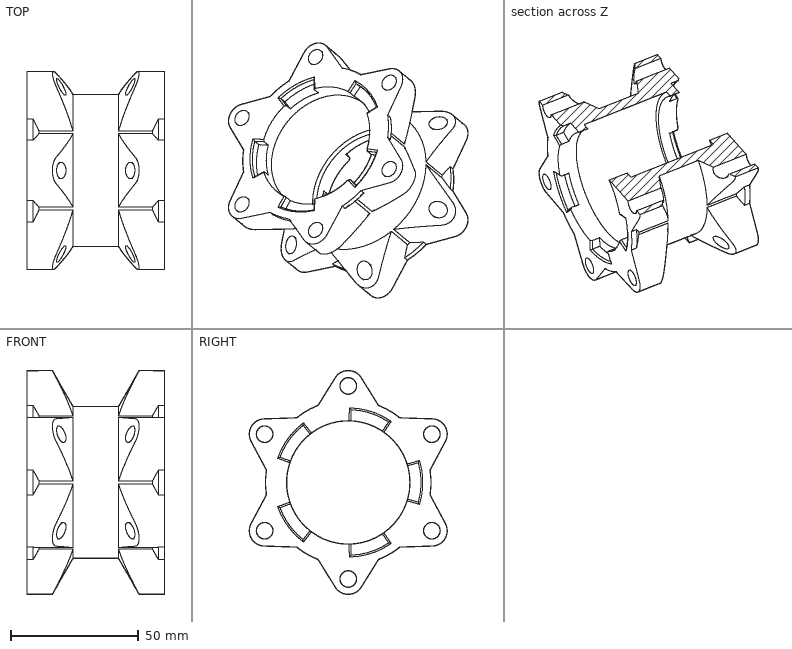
import cadquery as cq
import math

length = 54.1
outer_radius = 44.0

tube_radius = 59.8 / 2
bore_radius = 48.4 / 2
relief_radius = 52.2 / 2
lip_length = 8.3

arm_count = 6
arm_tip_radius = 6.1
arm_root_radius = relief_radius
arm_centre_radius = outer_radius - arm_tip_radius
arm_tip_length = 10.0
flange_length = 18.1
first_arm_angle = 180 / arm_count
hole_diameter = 6.4

rim_radius = 32.6
rim_thickness = 2.4
rim_slope_length = 2.4

recess_count = 5
recess_radius = 28.6
recess_half_angle = 15.7
recess_depth = 4.05
recess_chamfer = 0.7
recess_overlap = 1.8


def polar(radius, degrees):
    """Point (Y, Z) at a radius and an angle from +Y towards +Z."""
    angle = math.radians(degrees)
    return radius * math.cos(angle), radius * math.sin(angle)


def turned(points):
    """Solid of revolution about X from (x, radius) points."""
    return cq.Workplane("XY").polyline(points).close().revolve(360, (0, 0, 0), (1, 0, 0))


def spin(shape, degrees):
    """Copy of a shape turned about the X axis."""
    return shape.rotate((0, 0, 0), (1, 0, 0), degrees)


def make_arm():
    """One arm along +Y: straight flanks tangent to the root circle and to the round tip."""
    flank_sine = (arm_root_radius - arm_tip_radius) / arm_centre_radius
    tangent_angle = math.degrees(math.acos(flank_sine))
    root_y, root_z = polar(arm_root_radius, tangent_angle)
    tip_offset, tip_z = polar(arm_tip_radius, tangent_angle)
    tip_y = arm_centre_radius + tip_offset
    return (
        cq.Workplane("YZ")
        .lineTo(root_y, root_z)
        .lineTo(tip_y, tip_z)
        .threePointArc((outer_radius, 0), (tip_y, -tip_z))
        .lineTo(root_y, -root_z)
        .close()
        .extrude(flange_length)
    )


def make_star():
    """All arms of one end, cut back towards their tips by a cone on the inner side."""
    arm = make_arm()
    star = spin(arm, first_arm_angle)
    for index in range(1, arm_count):
        star = star.union(spin(arm, first_arm_angle + index * 360 / arm_count))
    slope = (flange_length - arm_tip_length) / (outer_radius - tube_radius)
    base_radius = outer_radius + arm_tip_length / slope
    apex_x = base_radius * slope
    return star.intersect(turned([(0, 0), (0, base_radius), (apex_x, 0)]))


def make_rim():
    """Disc at the end face with a conical back that runs down to the tube."""
    slope_end = rim_thickness + rim_slope_length
    return turned([
        (0, 0),
        (0, rim_radius),
        (rim_thickness, rim_radius),
        (slope_end, tube_radius),
        (slope_end, 0),
    ])


def make_arm_holes():
    """Cutters for the holes through the arm tips of one end."""
    return (
        cq.Workplane("YZ")
        .polarArray(arm_centre_radius, first_arm_angle, 360, arm_count)
        .circle(hole_diameter / 2)
        .extrude(flange_length)
    )


def recess_outline():
    """Ring sector centred on +Y; its inner side lies in the open bore."""
    inner_radius = bore_radius - recess_overlap
    return (
        cq.Workplane("YZ")
        .moveTo(*polar(inner_radius, -recess_half_angle))
        .lineTo(*polar(recess_radius, -recess_half_angle))
        .threePointArc((recess_radius, 0), polar(recess_radius, recess_half_angle))
        .lineTo(*polar(inner_radius, recess_half_angle))
        .close()
    )


def make_recess():
    """Cutter for one recess with a 45 degree chamfer around its mouth."""
    pocket = recess_outline().extrude(recess_depth)
    mouth = recess_outline().offset2D(recess_chamfer, "intersection").extrude(recess_chamfer, taper=45)
    return pocket.union(mouth)


def make_bore():
    """Cutter for the bore: narrow lips at the ends and a wider middle."""
    bore = cq.Workplane("YZ").circle(bore_radius).extrude(length)
    relief = (
        cq.Workplane("YZ", origin=(lip_length, 0, 0))
        .circle(relief_radius)
        .extrude(length - 2 * lip_length)
    )
    return bore.union(relief)


end_body = make_star().union(make_rim())
end_cuts = make_arm_holes()
recess = make_recess()
for index in range(recess_count):
    end_cuts = end_cuts.union(spin(recess, index * 360 / recess_count))

middle = (length / 2, 0, 0)
tube = cq.Workplane("YZ").circle(tube_radius).extrude(length)
body = tube.union(end_body).union(end_body.mirror("YZ", middle))
body = body.cut(end_cuts).cut(end_cuts.mirror("YZ", middle))
result = body.cut(make_bore()).translate((-length / 2, 0, 0))